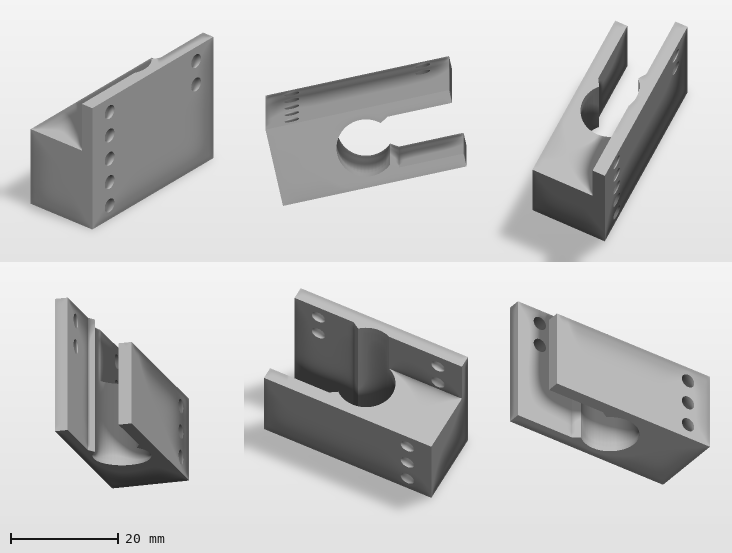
import cadquery as cq
import math

width = 15.0
length = 35.0
height = 26.0
wall = 2.52
base_height = 16.0

bore_radius = 11.0 / 2
slot_half_width = width / 2 - wall
lip_tip_y = 3.7
lip_root_y = 5.18
lip_tip_x = math.sqrt(bore_radius**2 - lip_tip_y**2)

hole_diameter = 2.8
hole_pitch = 5.0
hole_end_distance = 5.0
top_hole_depth = 3.0
front_hole_count = 5
rear_hole_count = 2


def make_body():
    """Block with a step that leaves only the +X wall and its lip at full height."""
    base = cq.Workplane("XY").box(width, length, base_height, centered=(True, True, False))
    tall_wall = (
        cq.Workplane("XY")
        .center(width / 2 - wall / 2, 0)
        .box(wall, length, height, centered=(True, True, False))
    )
    lip_stock = cq.Workplane("XY").box(width / 2, lip_root_y, height, centered=False)
    return base.union(tall_wall).union(lip_stock)


def make_channel():
    """Vertical keyhole cutter: bore, narrowed throat and slot open at +Y."""
    return (
        cq.Workplane("XY")
        .moveTo(-lip_tip_x, lip_tip_y)
        .threePointArc((0, -bore_radius), (lip_tip_x, lip_tip_y))
        .lineTo(slot_half_width, lip_root_y)
        .lineTo(slot_half_width, length / 2)
        .lineTo(-slot_half_width, length / 2)
        .lineTo(-slot_half_width, lip_root_y)
        .close()
        .extrude(height)
    )


def make_hole_column(y, count):
    """Vertical row of X-direction through holes, counted down from the top."""
    top_z = height - top_hole_depth
    centers = [(y, top_z - i * hole_pitch) for i in range(count)]
    return (
        cq.Workplane("YZ", origin=(-width / 2, 0, 0))
        .pushPoints(centers)
        .circle(hole_diameter / 2)
        .extrude(width)
    )


hole_y = length / 2 - hole_end_distance
result = (
    make_body()
    .cut(make_channel())
    .cut(make_hole_column(-hole_y, front_hole_count))
    .cut(make_hole_column(hole_y, rear_hole_count))
)